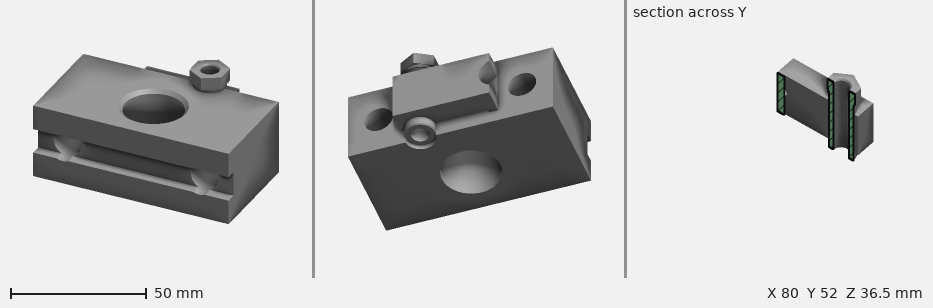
import cadquery as cq

block_length = 80.0
block_depth = 42.0
block_height = 30.0
mid_height = block_height / 2
slot_height = 10.0
slot_depth = 4.2

bore_diameter = 23.0
bore_y = 19.0
bore_chamfer = 1.4
mounting_hole_diameter = 11.0
mounting_hole_x = 28.0

plate_left = -18.6
plate_right = 19.1
plate_height = 20.0
plate_reach = 10.0
plate_gap = 1.0
heel_width = 3.6
relief_diameter = 12.8
relief_x = -21.0

screw_x = 11.5
screw_y = 42.5
shank_diameter = 12.0
shank_bottom = 1.5
shank_chamfer = 0.5
collar_diameter = 12.8
collar_height = 1.4
hex_across_flats = 13.0
screw_top = 36.5
screw_hole_diameter = 6.9
screw_hole_chamfer = 0.6


def upright_cylinder(x, y, bottom, top, diameter):
    return cq.Workplane("XY", origin=(x, y, bottom)).circle(diameter / 2).extrude(top - bottom)


def cylinder_along_y(x, start, end, diameter):
    plane = cq.Plane(origin=(x, start, mid_height), xDir=(1, 0, 0), normal=(0, 1, 0))
    return cq.Workplane(plane).circle(diameter / 2).extrude(end - start)


def box_at_mid_height(left, right, front, back, height):
    box = cq.Workplane("XY").box(right - left, back - front, height, centered=False)
    return box.translate((left, front, mid_height - height / 2))


def make_block():
    half_length = block_length / 2
    block = box_at_mid_height(-half_length, half_length, 0, block_depth, block_height)
    block = block.cut(box_at_mid_height(-half_length, half_length, 0, slot_depth, slot_height))

    block = block.cut(upright_cylinder(0, bore_y, 0, block_height, bore_diameter))
    block = block.faces(">Z").edges("%CIRCLE").chamfer(bore_chamfer)

    for x in (-mounting_hole_x, mounting_hole_x):
        block = block.cut(cylinder_along_y(x, 0, block_depth, mounting_hole_diameter))

    return block.cut(upright_cylinder(screw_x, screw_y, 0, block_height, shank_diameter))


def make_plate():
    inner_face = block_depth + plate_gap
    outer_face = block_depth + plate_reach
    plate = box_at_mid_height(plate_left, plate_right, inner_face, outer_face, plate_height)

    plate = plate.cut(cylinder_along_y(relief_x, inner_face, outer_face, relief_diameter))

    heel = box_at_mid_height(plate_left, plate_left + heel_width, block_depth, inner_face, plate_height)
    return plate.union(heel)


def make_screw():
    collar_top = block_height + collar_height
    shank = upright_cylinder(screw_x, screw_y, shank_bottom, block_height, shank_diameter)
    shank = shank.faces("<Z").edges().chamfer(shank_chamfer)
    collar = upright_cylinder(screw_x, screw_y, block_height, collar_top, collar_diameter)
    head = (
        cq.Workplane("XY", origin=(screw_x, screw_y, collar_top))
        .polygon(6, hex_across_flats, circumscribed=True)
        .extrude(screw_top - collar_top)
    )
    return shank.union(collar).union(head)


result = make_block().union(make_plate()).union(make_screw())
result = result.cut(upright_cylinder(screw_x, screw_y, 0, screw_top, screw_hole_diameter))
result = result.faces(">Z").edges("%CIRCLE").chamfer(screw_hole_chamfer)